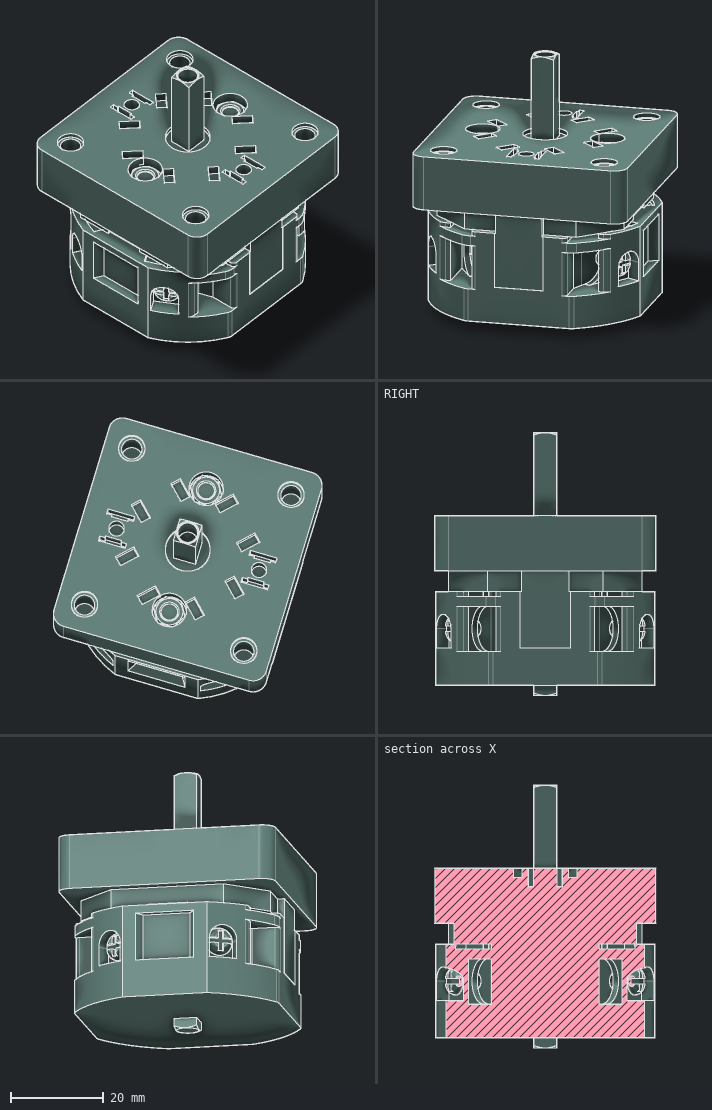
import cadquery as cq
import math

housing_height = 20.3
neck_height = 4.5
plate_thickness = 12.0
shaft_above_plate = 18.0
shaft_below_housing = 2.2
neck_top = housing_height + neck_height
plate_top = neck_top + plate_thickness
shaft_top = plate_top + shaft_above_plate
lower_shell_top = 8.1

housing_half_x = 22.63
housing_half_y = 23.76
front_flat_half_width = 9.36
corner_radius = math.hypot(front_flat_half_width, housing_half_y)
lower_edge_fillet = 2.1
upper_edge_fillet = 4.2

neck_width = 42.0
neck_chamfer = 8.5
latch_half_x = 22.56
latch_width = 10.4
latch_recess_width = 10.9
bolt_notch_width = 9.0
bolt_notch_height = 0.8

plate_width = 48.0
plate_corner_radius = 3.0
mount_hole_offset = 18.0
mount_hole_radius = 2.2
mount_bore_radius = 2.85
mount_bore_depth = 1.0
mount_hole_depth = 10.0
shaft_recess_radius = 4.85
shaft_recess_depth = 1.0

shaft_width = 5.0
shaft_turned_radius = 2.45
shaft_end_drop = 0.55
shaft_hole_radius = 2.15
shaft_hole_rim = 0.2
shaft_hole_depth = 10.0
drill_tip_height = 1.3

bolt_offset = 14.0
bolt_radius = 1.52
nut_bore_radius = 3.72
nut_bore_depth = 4.0
nut_across_flats = 6.1
nut_sink = 1.8
nut_hole_radius = 1.8
nut_hole_rim = 0.3
nut_face_radius = 2.92
nut_corner_drop = 0.35
bolt_sink = 2.3

diagonal_slot_length = 4.48
diagonal_slot_width = 2.28
diagonal_slot_distance = 12.26
diagonal_slot_half_spacing = 4.9
diagonal_slot_depth = 2.0
rail_center_x = 16.1
rail_hole_radius = 1.67
rail_depth = 4.0
rail_length = 6.0
rail_outer_y = 3.65
rail_step_y = 2.6
rail_tab_length = 3.65
rail_tab_y = 2.23

pocket_half_width = 6.44
pocket_floor_half_width = 5.2
pocket_depth = 2.1
pocket_top = 18.56

window_inner_y = 10.7
window_outer_y = 19.25
window_pier_x = 16.8
window_bottom = 7.3
window_top = 17.1
strap_top = 19.3
window_edge_radius = 0.95
window_slant_x = 16.6
window_slant_end_y = 11.76
window_back_y = 16.6
window_pier_round_y = 17.7
window_pier_nose_x = 17.45
wire_chamber_radius = 4.95
wire_chamber_depth = 1.35
wire_chamber_floor = 16.93
wire_chamber_rim = wire_chamber_floor + wire_chamber_depth

screw_z = 12.3
screw_slot_radius = 3.1
screw_outer_x = 12.6
screw_outer_y = 22.05
screw_outer_distance = math.hypot(screw_outer_x, screw_outer_y)
outward_x = screw_outer_x / screw_outer_distance
outward_y = screw_outer_y / screw_outer_distance
screw_hole_radius = 1.55
screw_hole_depth = 3.0
screw_face_depth = 1.5
screw_head_radius = 3.0
screw_head_height = 1.7
screw_head_rounding = 1.5
driver_slot_width = 1.15
driver_slot_length = 4.5
driver_slot_depth = 0.9
top_recess_half_width = 4.9
top_recess_radius = 23.7

beyond = 5.0


def box(x_range, y_range, z_range):
    """Box spanning the given coordinate ranges."""
    size = [high - low for low, high in (x_range, y_range, z_range)]
    corner = (x_range[0], y_range[0], z_range[0])
    return cq.Workplane("XY").box(*size, centered=False).translate(corner)


def disc(x, y, radius, bottom, top):
    """Upright cylinder between two heights."""
    return cq.Workplane("XY", origin=(x, y, bottom)).circle(radius).extrude(top - bottom)


def prism(points, bottom, top):
    """Upright prism on a plan polygon."""
    return cq.Workplane("XY", origin=(0, 0, bottom)).polyline(points).close().extrude(top - bottom)


def screw_plane(distance):
    """Plane across the +X +Y screw axis, facing outward, at a distance from the shaft axis."""
    origin = (distance * outward_x, distance * outward_y, screw_z)
    plane = cq.Plane(origin=origin, xDir=(-outward_y, outward_x, 0), normal=(outward_x, outward_y, 0))
    return cq.Workplane(plane)


def on_cross_plane(distance, y):
    """Plan point at the given y on the plane across the +X +Y screw axis."""
    return ((distance - y * outward_y) / outward_x, y)


def four_quadrants(shape):
    """The shape with its mirror images in the other three quadrants."""
    pair = [shape, shape.mirror("YZ")]
    return pair + [half.mirror("XZ") for half in pair]


def make_shell(bottom, top, edge_fillet):
    """Round body with four flats, its side flats blended into the round corners."""
    body = disc(0, 0, corner_radius, bottom, top).intersect(
        box((-housing_half_x, housing_half_x), (-housing_half_y, housing_half_y), (bottom, top))
    )
    flat_end_y = math.sqrt(corner_radius**2 - housing_half_x**2)
    middle = (bottom + top) / 2
    for x in (-housing_half_x, housing_half_x):
        for y in (-flat_end_y, flat_end_y):
            edge = cq.selectors.NearestToPointSelector((x, y, middle))
            body = body.edges("|Z").edges(edge).fillet(edge_fillet)
    return body


def make_housing():
    lower_shell = make_shell(0, lower_shell_top, lower_edge_fillet)
    upper_shell = make_shell(lower_shell_top, housing_height, upper_edge_fillet)
    return lower_shell.union(upper_shell)


def make_flat_pocket():
    """Pocket with slanted sides in the back flat."""
    floor_y = housing_half_y - pocket_depth
    outline = [
        (-pocket_floor_half_width, floor_y),
        (pocket_floor_half_width, floor_y),
        (pocket_half_width, housing_half_y),
        (-pocket_half_width, housing_half_y),
    ]
    return prism(outline, lower_shell_top, pocket_top)


def make_latch_recess():
    """Shallow recess that continues the latch down the +X side."""
    half = latch_recess_width / 2
    return box((latch_half_x, housing_half_x), (-half, half), (lower_shell_top, housing_height))


def make_window(bottom, top):
    """Wire opening of the +X +Y corner between two heights, stepped at the wire chamber."""
    outer_x = housing_half_x + beyond
    chamber_middle_y = wire_chamber_floor * outward_y - wire_chamber_radius * outward_x
    opening = (
        cq.Workplane("XY", origin=(0, 0, bottom))
        .moveTo(outer_x, window_inner_y)
        .lineTo(window_slant_x, window_inner_y)
        .lineTo(*on_cross_plane(wire_chamber_floor, window_slant_end_y))
        .lineTo(*on_cross_plane(wire_chamber_floor, chamber_middle_y))
        .lineTo(*on_cross_plane(wire_chamber_rim, chamber_middle_y + wire_chamber_depth * outward_y))
        .lineTo(*on_cross_plane(wire_chamber_rim, window_back_y))
        .lineTo(window_pier_nose_x, window_back_y)
        .lineTo(window_pier_nose_x, window_pier_round_y)
        .tangentArcPoint((window_pier_x, window_outer_y), relative=False)
        .lineTo(outer_x, window_outer_y)
        .close()
        .extrude(top - bottom)
    )
    edge_start = housing_half_x - window_edge_radius
    edge_y = window_inner_y - window_edge_radius
    flare = box((edge_start, outer_x), (edge_y, window_inner_y), (bottom, top))
    rounding = disc(edge_start, edge_y, window_edge_radius, bottom, top)
    return opening.union(flare.cut(rounding))


def make_wire_chamber():
    """Round chamber at the back of a window, with the screw hole at its rim."""
    floor = screw_plane(wire_chamber_floor)
    chamber = floor.center(-wire_chamber_radius, 0).circle(wire_chamber_radius)
    chamber = chamber.extrude(wire_chamber_depth)
    screw_hole = floor.circle(screw_hole_radius).extrude(-screw_hole_depth)
    height_limit = box(
        (0, housing_half_x), (window_slant_end_y, housing_half_y), (window_bottom, window_top)
    )
    return chamber.union(screw_hole).intersect(height_limit)


def make_top_recess():
    """Shallow recess above a terminal, with a round outer end."""
    recess = (
        cq.Workplane("XY", origin=(0, 0, strap_top))
        .transformed(rotate=(0, 0, math.degrees(math.atan2(outward_y, outward_x))))
        .center((wire_chamber_floor + housing_half_y) / 2, 0)
        .rect(housing_half_y - wire_chamber_floor, 2 * top_recess_half_width)
        .extrude(housing_height - strap_top)
    )
    return recess.intersect(disc(0, 0, top_recess_radius, strap_top, housing_height))


def make_screw_slot():
    """Arched slot that gives access to a terminal screw."""
    depth = screw_face_depth + screw_head_height
    start = screw_plane(screw_outer_distance - depth)
    drop = screw_z - lower_shell_top
    length = depth + beyond
    arch = start.circle(screw_slot_radius).extrude(length)
    legs = start.center(0, -drop / 2).rect(2 * screw_slot_radius, drop).extrude(length)
    floor = box(
        (0, 2 * housing_half_x), (0, 2 * housing_half_y), (lower_shell_top, housing_height)
    )
    return arch.union(legs).intersect(floor)


def make_screw_head():
    """Rounded screw head with a cross drive."""
    face_distance = screw_outer_distance - screw_face_depth
    head = screw_plane(face_distance - screw_head_height).circle(screw_head_radius)
    head = head.extrude(screw_head_height)
    outer_face = cq.selectors.DirectionMinMaxSelector(cq.Vector(outward_x, outward_y, 0))
    head = head.faces(outer_face).edges().fillet(screw_head_rounding)
    drive = screw_plane(face_distance - driver_slot_depth)
    level_slot = drive.rect(2 * screw_head_radius, driver_slot_width).extrude(driver_slot_depth)
    upright_slot = drive.rect(driver_slot_width, driver_slot_length).extrude(driver_slot_depth)
    return head.cut(level_slot).cut(upright_slot)


def make_neck():
    neck = (
        cq.Workplane("XY", origin=(0, 0, housing_height))
        .rect(neck_width, neck_width)
        .extrude(neck_height)
        .edges("|Z")
        .chamfer(neck_chamfer)
    )
    latches = box(
        (-latch_half_x, latch_half_x),
        (-latch_width / 2, latch_width / 2),
        (housing_height, neck_top),
    )
    neck = neck.union(latches)
    notch_top = housing_height + bolt_notch_height
    half = bolt_notch_width / 2
    for side in (-1, 1):
        bolt_y = side * bolt_offset
        y_range = sorted((bolt_y, side * neck_width))
        notch = box((-half, half), y_range, (housing_height, notch_top))
        notch = notch.union(disc(0, bolt_y, half, housing_height, notch_top))
        neck = neck.cut(notch).union(disc(0, bolt_y, bolt_radius, housing_height, notch_top))
    return neck


def make_rail():
    """Stepped slot beside the round hole on the +X side of the plate."""
    half = rail_length / 2
    tab_half = rail_tab_length / 2
    z_range = (plate_top - rail_depth, plate_top)
    rail = box((rail_center_x - half, rail_center_x + half), (rail_step_y, rail_outer_y), z_range)
    tab_x = (rail_center_x - tab_half, rail_center_x + tab_half)
    return rail.union(box(tab_x, (rail_tab_y, rail_outer_y), z_range))


def make_diagonal_slot_pair():
    """Two slots either side of the diagonal of the +X +Y quadrant."""
    return (
        cq.Workplane("XY", origin=(0, 0, plate_top - diagonal_slot_depth))
        .transformed(rotate=(0, 0, 45))
        .pushPoints([(diagonal_slot_distance, s * diagonal_slot_half_spacing) for s in (-1, 1)])
        .rect(diagonal_slot_length, diagonal_slot_width)
        .extrude(diagonal_slot_depth)
    )


def make_nut(y):
    """Hexagon nut around the end of a tie bolt."""
    bottom = plate_top - nut_bore_depth
    top = plate_top - nut_sink
    corner_diameter = nut_across_flats / math.cos(math.pi / 6)
    nut = cq.Workplane("XY", origin=(0, y, bottom)).polygon(6, corner_diameter).extrude(top - bottom)
    turned = disc(0, y, corner_diameter / 2, bottom, top).faces(">Z").chamfer(
        nut_corner_drop, corner_diameter / 2 - nut_face_radius
    )
    nut = nut.intersect(turned)
    nut = nut.cut(disc(0, y, nut_hole_radius, plate_top - bolt_sink, top))
    rim = cq.selectors.RadiusNthSelector(0)
    return nut.faces(">Z").edges("%CIRCLE").edges(rim).chamfer(nut_hole_rim)


def make_plate():
    plate = box(
        (-plate_width / 2, plate_width / 2),
        (-plate_width / 2, plate_width / 2),
        (neck_top, plate_top),
    )
    plate = plate.edges("|Z").fillet(plate_corner_radius)
    plate = plate.cut(disc(0, 0, shaft_recess_radius, plate_top - shaft_recess_depth, plate_top))

    at = mount_hole_offset
    mount_hole = disc(at, at, mount_hole_radius, plate_top - mount_hole_depth, plate_top).union(
        disc(at, at, mount_bore_radius, plate_top - mount_bore_depth, plate_top)
    )
    for feature in (mount_hole, make_rail(), make_diagonal_slot_pair()):
        for cutter in four_quadrants(feature):
            plate = plate.cut(cutter)

    for side in (-1, 1):
        bolt_y = side * bolt_offset
        plate = plate.cut(
            disc(side * rail_center_x, 0, rail_hole_radius, plate_top - rail_depth, plate_top)
        )
        plate = plate.cut(disc(0, bolt_y, nut_bore_radius, plate_top - nut_bore_depth, plate_top))
        plate = plate.union(make_nut(bolt_y))
    return plate


def make_shaft():
    half = shaft_width / 2
    shaft = box((-half, half), (-half, half), (-shaft_below_housing, shaft_top))
    corner = half * math.sqrt(2)
    profile = [
        (0, -shaft_below_housing),
        (shaft_turned_radius, -shaft_below_housing),
        (corner, shaft_end_drop - shaft_below_housing),
        (corner, shaft_top - shaft_end_drop),
        (shaft_turned_radius, shaft_top),
        (0, shaft_top),
    ]
    turned = cq.Workplane("XZ").polyline(profile).close().revolve(360, (0, 0), (0, 1))
    return shaft.intersect(turned)


def make_shaft_hole():
    """Drilled hole with a conical tip and a small countersink."""
    hole_bottom = shaft_top - shaft_hole_depth
    profile = [
        (0, hole_bottom - drill_tip_height),
        (shaft_hole_radius, hole_bottom),
        (shaft_hole_radius, shaft_top - shaft_hole_rim),
        (shaft_hole_radius + shaft_hole_rim, shaft_top),
        (0, shaft_top),
    ]
    return cq.Workplane("XZ").polyline(profile).close().revolve(360, (0, 0), (0, 1))


housing = make_housing()
flat_pocket = make_flat_pocket()
latch_recess = make_latch_recess()
housing = housing.cut(flat_pocket).cut(flat_pocket.mirror("XZ"))
housing = housing.cut(latch_recess).cut(latch_recess.mirror("YZ"))

corner_cutters = (
    make_window(window_bottom, window_top),
    make_window(strap_top, housing_height),
    make_wire_chamber(),
    make_top_recess(),
    make_screw_slot(),
)
for feature in corner_cutters:
    for cutter in four_quadrants(feature):
        housing = housing.cut(cutter)
for screw_head in four_quadrants(make_screw_head()):
    housing = housing.union(screw_head)

result = housing.union(make_neck()).union(make_plate())
result = result.union(make_shaft()).cut(make_shaft_hole())